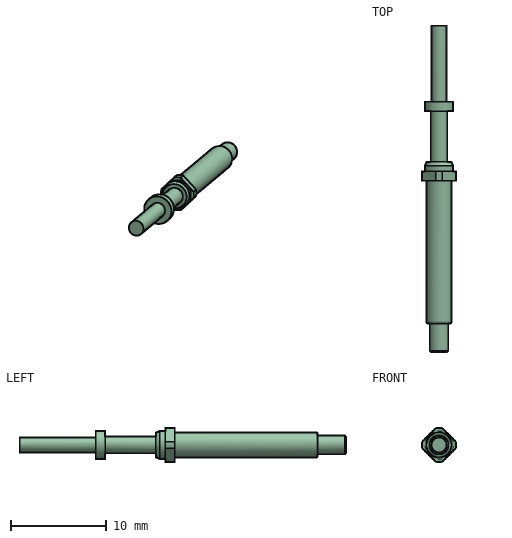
import cadquery as cq

total_length = 34.3

plunger_length = 3.02
body_length = 15.0
nut_length = 1.0
snap_ring_length = 1.0
snap_ring_lead_in = 0.4
neck_length = 5.3
collar_length = 1.0

plunger_diameter = 2.0
plunger_tip_diameter = 1.58
body_diameter = 2.65
nut_corner_diameter = 3.6
nut_across_flats = 3.0
snap_ring_diameter = 3.0
snap_ring_lead_in_diameter = 2.6
neck_diameter = 1.8
collar_diameter = 3.0
tail_diameter = 1.6

plunger_tip_bevel = 0.17
body_fillet = 0.17

body_start = plunger_length
nut_start = body_start + body_length
snap_ring_start = nut_start + nut_length
neck_start = snap_ring_start + snap_ring_length
collar_start = neck_start + neck_length
tail_start = collar_start + collar_length
tail_length = total_length - tail_start


def cylinder(start, length, diameter):
    """Round section on the Y axis, running from start towards +Y."""
    plane = cq.Workplane("XZ", origin=(0, start, 0))
    return plane.circle(diameter / 2).extrude(-length)


def cone(start, length, start_diameter, end_diameter):
    """Tapered section on the Y axis, running from start towards +Y."""
    half_profile = [
        (0, start),
        (start_diameter / 2, start),
        (end_diameter / 2, start + length),
        (0, start + length),
    ]
    return cq.Workplane("XY").polyline(half_profile).close().revolve(360, (0, 0), (0, 1))


def make_plunger():
    """Contact plunger with a bevelled tip."""
    tip = cone(0, plunger_tip_bevel, plunger_tip_diameter, plunger_diameter)
    shank = cylinder(plunger_tip_bevel, plunger_length - plunger_tip_bevel, plunger_diameter)
    return tip.union(shank)


def make_body():
    """Barrel with a rounded edge where the plunger comes out."""
    barrel = cylinder(body_start, body_length, body_diameter)
    return barrel.faces("<Y").edges().fillet(body_fillet)


def make_nut():
    """Square with its corners up, down and sideways, trimmed to a round outline."""
    square = (
        cq.Workplane("XZ", origin=(0, nut_start, 0))
        .transformed(rotate=(0, 0, 45))
        .rect(nut_across_flats, nut_across_flats)
        .extrude(-nut_length)
    )
    return square.intersect(cylinder(nut_start, nut_length, nut_corner_diameter))


def make_snap_ring():
    """Straight ring that tapers towards the neck."""
    straight_length = snap_ring_length - snap_ring_lead_in
    straight = cylinder(snap_ring_start, straight_length, snap_ring_diameter)
    lead_in = cone(
        snap_ring_start + straight_length,
        snap_ring_lead_in,
        snap_ring_diameter,
        snap_ring_lead_in_diameter,
    )
    return straight.union(lead_in)


neck = cylinder(neck_start, neck_length, neck_diameter)
collar = cylinder(collar_start, collar_length, collar_diameter)
tail = cylinder(tail_start, tail_length, tail_diameter)

result = make_plunger().union(make_body()).union(make_nut()).union(make_snap_ring())
result = result.union(neck).union(collar).union(tail)